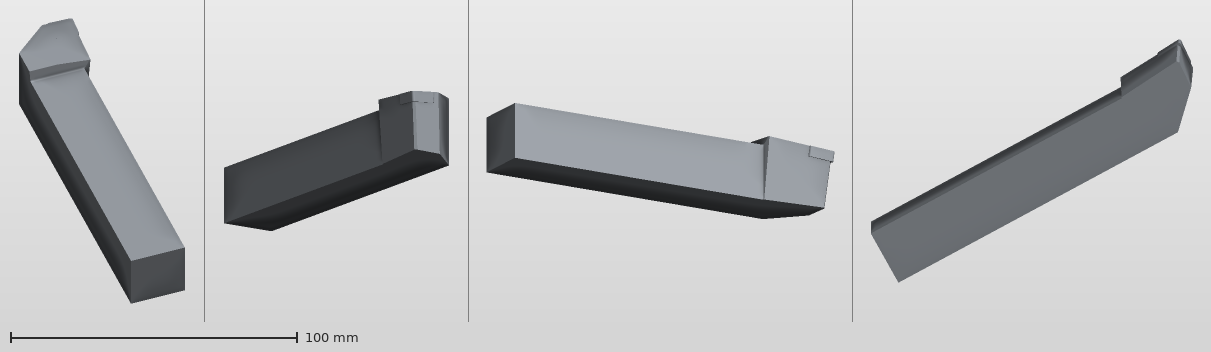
import cadquery as cq
import math

LENGTH = 126.0
SHANK_SIZE = 20.0
HEAD_HEIGHT = 24.0

BEVEL_START_X = 14.7
BEVEL_BASE_X = 3.0
BEVEL_BASE = (BEVEL_BASE_X, BEVEL_START_X - BEVEL_BASE_X)
NOSE_BASE = (2.4, 21.5)
NOSE_FLANK_BASE = (3.0, 22.4)
REAR_BASE = (26.0, 20.4)
HEAD_END_X = 26.1

BEVEL_LEAN = (-2.0, 2.0)
NOSE_LEAN = (-2.1, 2.5)
REAR_LEAN = (-0.9, 2.4)

RAMP_TOP_X = 25.0
RAMP_ANGLE = 15.0
RAMP_FILLET = 0.9

RAKE_EDGE = (13.7, 1.0, HEAD_HEIGHT)
RAKE_NORMAL = (-math.tan(math.radians(5)), math.tan(math.radians(6)), 1.0)
CUT_SIZE = 75.6

INSERT_WIDTH = 9.6
INSERT_ANGLE = 80.0
INSERT_THICKNESS = 3.8
INSERT_NOSE_RADIUS = 0.8
INSERT_CENTRE = (5.2, 20.0)
INSERT_TURN = -45.0
INSERT_HOLE = 3.8


def shifted(point, lean):
    return (point[0] + lean[0], point[1] + lean[1])


def rake_plane(x, y):
    """Plane on the rake face above (x, y), with local x close to global X."""
    nx, ny, nz = RAKE_NORMAL
    z = RAKE_EDGE[2] - (nx * (x - RAKE_EDGE[0]) + ny * (y - RAKE_EDGE[1])) / nz
    return cq.Plane(origin=(x, y, z), xDir=(nz, 0, -nx), normal=RAKE_NORMAL)


def make_head():
    front = [(HEAD_END_X, 0), (BEVEL_START_X, 0)]
    end = (HEAD_END_X, SHANK_SIZE)
    base = [*front, BEVEL_BASE, NOSE_BASE, NOSE_FLANK_BASE, REAR_BASE, end]
    top = [
        *front,
        shifted(BEVEL_BASE, BEVEL_LEAN),
        shifted(NOSE_BASE, NOSE_LEAN),
        shifted(NOSE_FLANK_BASE, NOSE_LEAN),
        shifted(REAR_BASE, REAR_LEAN),
        end,
    ]
    return (
        cq.Workplane("XY").polyline(base).close()
        .workplane(offset=HEAD_HEIGHT).polyline(top).close()
        .loft(ruled=True, combine=True)
    )


def make_ramp_cutter():
    """Space above the shank and behind the head, with a rounded inner corner."""
    foot_x = RAMP_TOP_X + (HEAD_HEIGHT - SHANK_SIZE) * math.tan(math.radians(RAMP_ANGLE))
    profile = [
        (RAMP_TOP_X, HEAD_HEIGHT),
        (foot_x, SHANK_SIZE),
        (LENGTH, SHANK_SIZE),
        (LENGTH, HEAD_HEIGHT),
    ]
    cutter = cq.Workplane("XZ").polyline(profile).close().extrude(CUT_SIZE, both=True)
    foot_edge = cq.selectors.NearestToPointSelector((foot_x, 0, SHANK_SIZE))
    return cutter.edges("|Y").edges(foot_edge).fillet(RAMP_FILLET)


def make_insert():
    plane = rake_plane(*INSERT_CENTRE).rotated((0, 0, INSERT_TURN))
    half_angle = math.radians(INSERT_ANGLE / 2)
    half_long = INSERT_WIDTH / 2 / math.sin(half_angle)
    half_short = INSERT_WIDTH / 2 / math.cos(half_angle)
    rhombus = [(-half_long, 0), (0, -half_short), (half_long, 0), (0, half_short)]
    return (
        cq.Workplane(plane)
        .polyline(rhombus).close().extrude(-INSERT_THICKNESS)
        .edges(cq.selectors.ParallelDirSelector(plane.zDir)).fillet(INSERT_NOSE_RADIUS)
        .cut(cq.Workplane(plane).circle(INSERT_HOLE / 2).extrude(-INSERT_THICKNESS))
    )


def make_holder(insert):
    """Shank and head in one piece; the locating pin is left standing in the pocket."""
    shank_start = HEAD_END_X
    shank = cq.Workplane("XY").box(
        LENGTH - shank_start, SHANK_SIZE, HEAD_HEIGHT, centered=False
    ).translate((shank_start, 0, 0))
    above_rake = cq.Workplane(rake_plane(*RAKE_EDGE[:2])).rect(CUT_SIZE, CUT_SIZE).extrude(CUT_SIZE)
    return make_head().union(shank).cut(make_ramp_cutter()).cut(above_rake).cut(insert)


insert = make_insert()
holder = make_holder(insert)

result = cq.Compound.makeCompound([holder.val(), insert.val()])